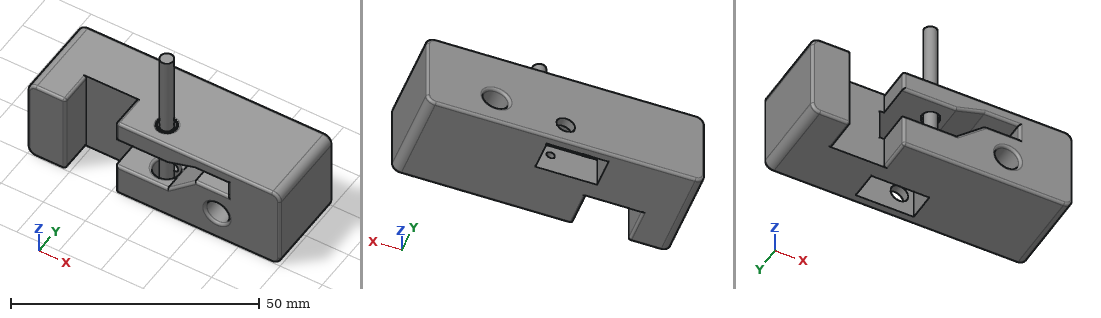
import cadquery as cq
import math

length = 60.0
width = 20.0
height = 20.0
corner_radius = 2.0
edge_radius = 0.6
left = -length / 2

notch_left = left + 9.0
notch_width = 12.0
notch_right = notch_left + notch_width
notch_depth = 8.0

rear_wall = 2.0
slot_depth = width - rear_wall
slot_left = notch_right - 1.0
slot_right = 17.6
ramp_start = 3.3
ramp_end = 9.8
low_floor = 7.75
high_floor = 13.25
low_ceiling = 15.0
high_ceiling = 17.0

chamber_front = 11.5

rod_y = 5.0
rod_diameter = 3.0
rod_top = height + 19.0
guide_diameter = 4.0
well_diameter = 6.0
well_bottom = 2.0

passage_z = 5.0
passage_diameter = 1.8
rear_hole_diameter = 4.0

cross_x = 15.0
cross_z = 7.0
cross_diameter = 5.5

insert_length = 4.0
insert_root_diameter = 4.2
insert_tip_diameter = 4.6
insert_teeth = 24
insert_mouth_diameter = 3.9
insert_mouth_depth = 0.4


def cylinder_z(diameter, bottom, top):
    """Upright cylinder on the rod axis."""
    return cq.Workplane("XY", origin=(0, rod_y, bottom)).circle(diameter / 2).extrude(top - bottom)


def cylinder_y(diameter, x, z, front, back):
    """Cylinder along Y between two depths."""
    return cq.Workplane("XZ", origin=(x, front, z)).circle(diameter / 2).extrude(front - back)


def box_between(x_range, y_range, z_range):
    sizes = [high - low for low, high in (x_range, y_range, z_range)]
    corner = (x_range[0], y_range[0], z_range[0])
    return cq.Workplane("XY", origin=corner).box(*sizes, centered=False)


def make_slot():
    outline = [
        (slot_left, low_floor),
        (ramp_start, low_floor),
        (ramp_end, high_floor),
        (slot_right, high_floor),
        (slot_right, high_ceiling),
        (ramp_end, high_ceiling),
        (ramp_start, low_ceiling),
        (slot_left, low_ceiling),
    ]
    return cq.Workplane("XZ").polyline(outline).close().extrude(-slot_depth)


def round_edges(body):
    """Round the front and back face edges, the notch rims and the mouths of the rod holes."""
    edges = body.faces("<Y or >Y").edges()
    for x in (notch_left, notch_right):
        for z in (0, height):
            edges = edges.add(body.edges(cq.selectors.NearestToPointSelector((x, notch_depth / 2, z))))
    for z in (low_floor, height):
        edges = edges.add(body.edges(cq.selectors.NearestToPointSelector((0, rod_y, z))))
    return body.newObject(edges.vals()).fillet(edge_radius)


def make_insert_blank():
    """Solid toothed cylinder with straight knurls."""
    half_pitch = math.pi / insert_teeth
    points = []
    for i in range(2 * insert_teeth):
        radius = (insert_tip_diameter if i % 2 else insert_root_diameter) / 2
        points.append((radius * math.cos(i * half_pitch), radius * math.sin(i * half_pitch)))
    bottom = height - insert_length
    return cq.Workplane("XY", origin=(0, rod_y, bottom)).polyline(points).close().extrude(insert_length)


def make_insert():
    mouth_bottom = height - insert_mouth_depth
    mouth = (
        cq.Workplane("XY", origin=(0, rod_y, mouth_bottom))
        .circle(rod_diameter / 2)
        .workplane(offset=insert_mouth_depth)
        .circle(insert_mouth_diameter / 2)
        .loft()
    )
    return make_insert_blank().cut(mouth).cut(cylinder_z(rod_diameter, 0, height))


def make_housing():
    body = cq.Workplane("XY").box(length, width, height, centered=(True, False, False))
    body = body.edges("|Y").fillet(corner_radius)
    body = body.cut(box_between((notch_left, notch_right), (0, notch_depth), (0, height)))
    body = body.cut(make_slot())
    body = body.cut(box_between((slot_left, ramp_start), (chamber_front, slot_depth), (0, low_floor)))
    body = body.cut(cylinder_z(well_diameter, well_bottom, low_floor))
    body = body.cut(cylinder_z(guide_diameter, low_ceiling, height))
    body = body.cut(cylinder_y(cross_diameter, cross_x, cross_z, 0, width))
    body = round_edges(body)
    body = body.cut(cylinder_y(passage_diameter, 0, passage_z, rod_y, chamber_front))
    body = body.cut(cylinder_y(rear_hole_diameter, 0, passage_z, slot_depth, width))
    return body.cut(make_insert_blank())


housing = make_housing()
rod = cylinder_z(rod_diameter, well_bottom, rod_top)
insert = make_insert()
result = cq.Compound.makeCompound([housing.val(), rod.val(), insert.val()])